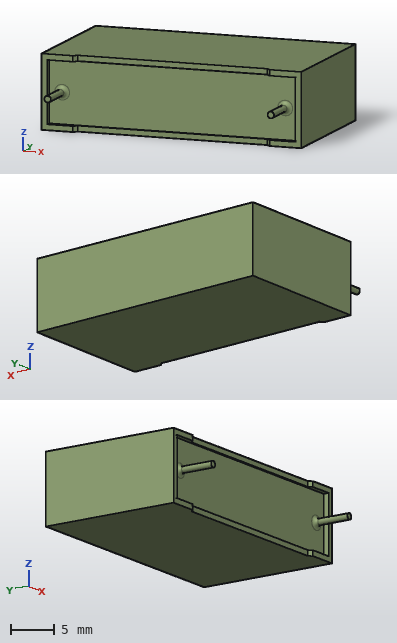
import cadquery as cq
import math

CASE_LENGTH = 32.0
CASE_DEPTH = 18.0
CASE_HEIGHT = 9.0
WALL = 0.7

RELIEF_DEPTH = 0.45
RELIEF_END_MARGIN = 3.87

FILL_SETBACK = 0.7
LEAD_DIAMETER = 0.8
LEAD_SPACING = 27.5
LEAD_PROJECTION = 4.0
MENISCUS_RADIUS = 0.5

CAVITY_LENGTH = CASE_LENGTH - 2 * WALL
CAVITY_HEIGHT = CASE_HEIGHT - 2 * WALL
CAVITY_BACK = CASE_DEPTH - WALL


def block(length, height, y_front, y_back):
    """Box centred on X and Z that spans y_front to y_back."""
    depth = y_back - y_front
    return cq.Workplane("XY").box(length, depth, height).translate((0, y_front + depth / 2, 0))


def rim_relief():
    """Trapezoidal cutter that lowers the middle of both long rim edges."""
    half_mouth = CASE_LENGTH / 2 - RELIEF_END_MARGIN
    half_floor = half_mouth - RELIEF_DEPTH
    outline = [
        (-half_mouth, 0),
        (half_mouth, 0),
        (half_floor, RELIEF_DEPTH),
        (-half_floor, RELIEF_DEPTH),
    ]
    return cq.Workplane("XY").polyline(outline).close().extrude(CASE_HEIGHT / 2, both=True)


def make_case():
    shell = block(CASE_LENGTH, CASE_HEIGHT, 0, CASE_DEPTH)
    cavity = block(CAVITY_LENGTH, CAVITY_HEIGHT, 0, CAVITY_BACK)
    return shell.cut(cavity).cut(rim_relief())


def make_lead(x):
    """Round lead along Y with a concave meniscus flaring out at the fill surface."""
    radius = LEAD_DIAMETER / 2
    tip = -LEAD_PROJECTION
    meniscus_top = FILL_SETBACK - MENISCUS_RADIUS
    flare_radius = radius + MENISCUS_RADIUS
    arc_offset = MENISCUS_RADIUS * (1 - math.cos(math.pi / 4))
    arc_middle = (radius + arc_offset, FILL_SETBACK - arc_offset)
    profile = (
        cq.Workplane("XY")
        .moveTo(0, tip)
        .lineTo(radius, tip)
        .lineTo(radius, meniscus_top)
        .threePointArc(arc_middle, (flare_radius, FILL_SETBACK))
        .lineTo(0, FILL_SETBACK)
        .close()
    )
    return profile.revolve(360, (0, 0, 0), (0, 1, 0)).translate((x, 0, 0))


def make_potted_fill():
    """Fill block and both leads as one solid."""
    fill = block(CAVITY_LENGTH, CAVITY_HEIGHT, FILL_SETBACK, CAVITY_BACK)
    for side in (-1, 1):
        fill = fill.union(make_lead(side * LEAD_SPACING / 2))
    return fill


case = make_case()
potted_fill = make_potted_fill()

result = cq.Compound.makeCompound([case.val(), potted_fill.val()])